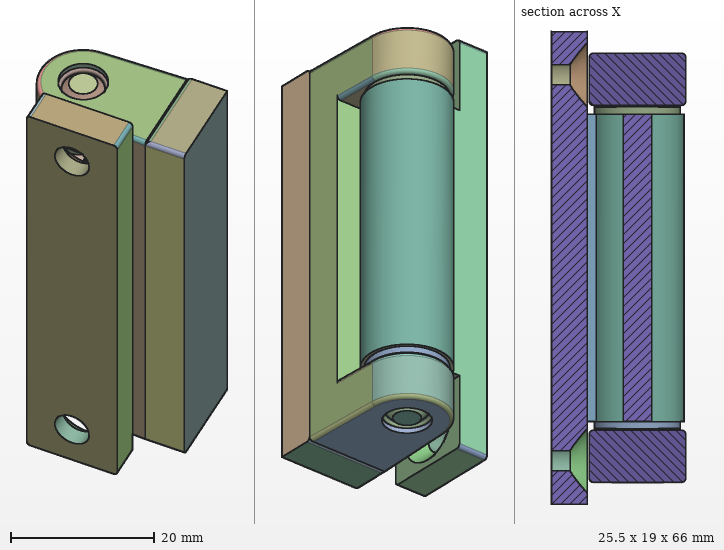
import cadquery as cq
import math

total_x = 25.5
total_y = 19.0
total_z = 66.0
edge_radius = 0.6

plate_left = 3.5
plate_width = 14.0
plate_thickness = 5.0
plate_hole_diameter = 5.3
countersink_diameter = 10.0
countersink_depth = (countersink_diameter - plate_hole_diameter) / 2
plate_hole_spacing = 53.85
plate_center_x = plate_left + plate_width / 2

barrel_radius = 6.55
axis_x = barrel_radius
axis_y = 12.0
barrel_length = 42.9

washer_diameter = 12.0
washer_thickness = 1.0
washer_gap = 0.2

pin_diameter = 6.0
pin_end_chamfer = 1.0
pin_recess = 0.4
bore_diameter = 6.2
mouth_diameter = 7.0
mouth_depth = 0.8

leaf_height = 59.9
block_length = 6.1
block_left = total_x - block_length
block_depth = total_y - plate_thickness
slot_height = barrel_length + 2 * (washer_thickness + washer_gap)
knuckle_height = (leaf_height - slot_height) / 2
web_clearance = 0.5
web_left = axis_x + barrel_radius + web_clearance


def vertical_cylinder(diameter, z_bottom, height):
    """Cylinder on the hinge axis."""
    return (
        cq.Workplane("XY", origin=(axis_x, axis_y, z_bottom))
        .circle(diameter / 2)
        .extrude(height)
    )


def make_mounting_holes():
    """Cutters for the two mounting holes, countersunk from the inner face of the plate."""
    hole_radius = plate_hole_diameter / 2
    hole = (
        cq.Workplane("XY")
        .polyline([
            (0, 0),
            (hole_radius, 0),
            (hole_radius, plate_thickness - countersink_depth),
            (countersink_diameter / 2, plate_thickness),
            (0, plate_thickness),
        ])
        .close()
        .revolve(360, (0, 0), (0, 1))
        .translate((plate_center_x, 0, plate_hole_spacing / 2))
    )
    return hole.union(hole.mirror("XY"))


def make_barrel_leaf():
    """Plate with two mounting holes, joined to the barrel by a rib flush with its -X side."""
    plate = (
        cq.Workplane("XY")
        .box(plate_width, plate_thickness, total_z, centered=(True, False, True))
        .translate((plate_center_x, 0, 0))
        .edges("|Y")
        .fillet(edge_radius)
    )
    rib = (
        cq.Workplane("XY")
        .box(2 * (axis_x - plate_left), axis_y, barrel_length, centered=(True, False, True))
        .translate((axis_x, 0, 0))
    )
    barrel = vertical_cylinder(2 * barrel_radius, -barrel_length / 2, barrel_length)
    bore = vertical_cylinder(pin_diameter, -barrel_length / 2, barrel_length)
    leaf = plate.cut(make_mounting_holes()).union(rib).union(barrel)
    return leaf.cut(bore)


def tangent_point(run, offset):
    """Point where a line from (run, offset) touches a barrel-sized circle about the hinge axis."""
    angle = math.atan2(offset, run) + math.acos(barrel_radius / math.hypot(run, offset))
    return barrel_radius * math.cos(angle), barrel_radius * math.sin(angle)


def leaf_outline(z_bottom):
    """Round nose on the hinge axis with tangent flanks that widen to the corners of the end block."""
    run = block_left - axis_x
    back = total_y - axis_y
    front = axis_y - plate_thickness
    back_tangent = tangent_point(run, back)
    front_tangent = tangent_point(run, front)
    return (
        cq.Workplane("XY", origin=(axis_x, axis_y, z_bottom))
        .moveTo(run, back)
        .lineTo(*back_tangent)
        .threePointArc((-barrel_radius, 0), (front_tangent[0], -front_tangent[1]))
        .lineTo(run, -front)
        .close()
    )


def make_knuckle(side):
    """Knuckle above (side 1) or below (side -1) the barrel, with a rounded rim on both faces."""
    z_bottom = side * (slot_height + knuckle_height) / 2 - knuckle_height / 2
    return (
        leaf_outline(z_bottom)
        .extrude(knuckle_height)
        .faces("|Z")
        .edges("not(|Y)")
        .fillet(edge_radius)
    )


def make_bore_cutter():
    """Through bore with a counterbored mouth at each end and a rounded lip below each mouth."""
    lip_radius = (mouth_diameter - bore_diameter) / 2
    lip_bottom = leaf_height / 2 - mouth_depth - lip_radius
    cutter = vertical_cylinder(bore_diameter, -leaf_height / 2, leaf_height)
    lip = (
        cq.Workplane("XZ")
        .moveTo(0, lip_bottom)
        .lineTo(bore_diameter / 2, lip_bottom)
        .radiusArc((mouth_diameter / 2, lip_bottom + lip_radius), lip_radius)
        .lineTo(mouth_diameter / 2, leaf_height / 2)
        .lineTo(0, leaf_height / 2)
        .close()
        .revolve(360, (0, 0), (0, 1))
    )
    for mouth in (lip, lip.mirror("XY")):
        cutter = cutter.union(mouth.translate((axis_x, axis_y, 0)))
    return cutter


def make_knuckle_leaf():
    """Two knuckles joined by a web behind the barrel."""
    upper = make_knuckle(1)
    lower = make_knuckle(-1)
    web_height = slot_height + knuckle_height
    nose_cutter = cq.Workplane("XY").box(web_left, total_y, leaf_height, centered=(False, False, True))
    web = leaf_outline(-web_height / 2).extrude(web_height).cut(nose_cutter)
    return upper.union(lower).union(web).cut(make_bore_cutter())


def make_end_block():
    """Block behind the leaf, rounded along the -X and -Y edges of its two end faces."""
    block = (
        cq.Workplane("XY")
        .box(block_length, block_depth, leaf_height, centered=(False, False, True))
        .translate((block_left, plate_thickness, 0))
    )
    return block.faces("|Z").edges("<X or <Y").fillet(edge_radius)


def make_washer(side):
    """Washer on the upper (side 1) or lower (side -1) end of the barrel."""
    z_bottom = side * (barrel_length + washer_thickness) / 2 - washer_thickness / 2
    disc = vertical_cylinder(washer_diameter, z_bottom, washer_thickness)
    return disc.cut(vertical_cylinder(pin_diameter, z_bottom, washer_thickness))


def make_pin():
    """Hinge pin with chamfered ends, set slightly below the knuckle faces."""
    length = leaf_height - 2 * pin_recess
    return vertical_cylinder(pin_diameter, -length / 2, length).edges().chamfer(pin_end_chamfer)


barrel_leaf = make_barrel_leaf()
knuckle_leaf = make_knuckle_leaf()
end_block = make_end_block()
pin = make_pin()
washers = [make_washer(side) for side in (-1, 1)]

result = cq.Compound.makeCompound(
    [
        barrel_leaf.val(),
        knuckle_leaf.val(),
        end_block.val(),
        pin.val(),
        *[washer.val() for washer in washers],
    ]
)